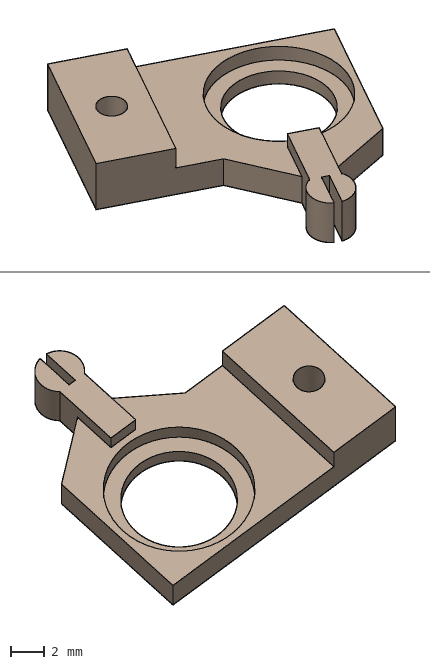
import cadquery as cq
import math

plate_width = 10.0
plate_length = 18.0
plate_thickness = 2.05

block_length = 5.0
block_height = 3.55
screw_hole_diameter = 1.9

seat_x = plate_width / 2
seat_y = plate_length - plate_width / 2
bore_diameter = 7.0
counterbore_diameter = 9.1
counterbore_depth = 1.05

arm_width = 2.0
arm_height = 3.05
pin_x = 15.7
pin_radius = 1.5
slot_width = 0.5
gusset_reach = 3.0

neck_x = pin_x - math.sqrt(pin_radius**2 - (arm_width / 2) ** 2)


def make_plate():
    """Flat plate with a tapered gusset that supports the arm."""
    gusset_x = plate_width + gusset_reach
    outline = [
        (0, 0),
        (plate_width, 0),
        (plate_width, seat_y - plate_width / 2),
        (gusset_x, seat_y - arm_width / 2),
        (gusset_x, seat_y + arm_width / 2),
        (plate_width, plate_length),
        (0, plate_length),
    ]
    return cq.Workplane("XY").polyline(outline).close().extrude(plate_thickness)


def make_block():
    """Thicker block at the -Y end of the plate."""
    return cq.Workplane("XY").box(plate_width, block_length, block_height, centered=False)


def make_arm():
    """Straight arm with a round pin at its tip, split by an open slot."""
    bar = (
        cq.Workplane("XY")
        .box(pin_x - plate_width, arm_width, arm_height, centered=(False, True, False))
        .translate((plate_width, seat_y, 0))
    )
    pin = cq.Workplane("XY").center(pin_x, seat_y).circle(pin_radius).extrude(arm_height)
    slot_length = pin_x + pin_radius - neck_x
    slot = (
        cq.Workplane("XY")
        .box(slot_length, slot_width, arm_height, centered=(False, True, False))
        .translate((neck_x, seat_y, 0))
    )
    return bar.union(pin).cut(slot)


def make_hole(x, y, diameter, bottom, top):
    """Vertical round cutter between two heights."""
    return cq.Workplane("XY", origin=(x, y, bottom)).circle(diameter / 2).extrude(top - bottom)


body = make_plate().union(make_block()).union(make_arm())

counterbore_floor = plate_thickness - counterbore_depth
bore = make_hole(seat_x, seat_y, bore_diameter, 0, plate_thickness)
counterbore = make_hole(seat_x, seat_y, counterbore_diameter, counterbore_floor, plate_thickness)
screw_hole = make_hole(plate_width / 2, block_length / 2, screw_hole_diameter, 0, block_height)

result = body.cut(bore).cut(counterbore).cut(screw_hole)